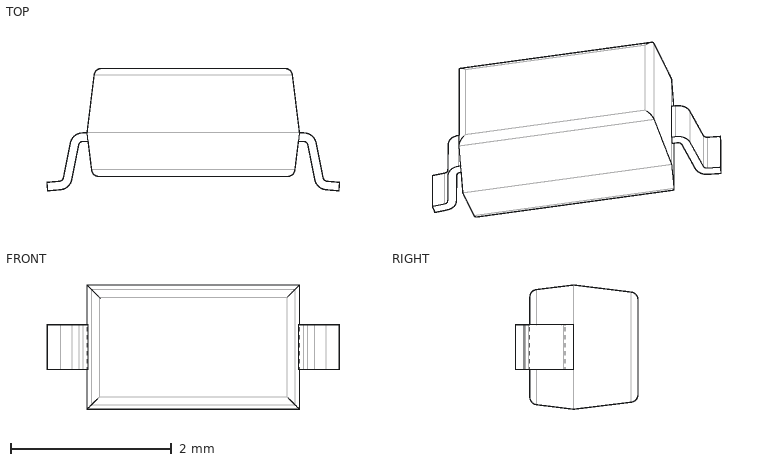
import cadquery as cq
import math

BODY_LENGTH = 2.65
BODY_HEIGHT = 1.55
FRONT_DEPTH = 0.548
BACK_DEPTH = 0.803
DRAFT_ANGLE = 7.0
BODY_FILLET = 0.1

TIP_SPAN = 3.65
LEAD_WIDTH = 0.562
LEAD_THICKNESS = 0.11
KNEE_X = 1.507
LEG_ANGLE = 11.3
FOOT_ANGLE = 5.0
TOE_DROP = 0.617
INNER_BEND = 0.05
OUTER_BEND = INNER_BEND + LEAD_THICKNESS


def make_body_half(depth):
    """Block that tapers from the parting plane towards -Y."""
    parting_outline = cq.Workplane("XZ").rect(BODY_LENGTH, BODY_HEIGHT)
    return parting_outline.extrude(depth, taper=DRAFT_ANGLE)


def make_body():
    """Two tapered blocks back to back, with both broad faces rounded off."""
    front = make_body_half(FRONT_DEPTH)
    back = make_body_half(BACK_DEPTH).mirror("XZ")
    body = front.union(back)
    return body.faces("<Y or >Y").edges().fillet(BODY_FILLET)


def make_right_lead():
    """Strip of constant thickness with a rounded knee and ankle."""
    leg = math.radians(LEG_ANGLE)
    foot = math.radians(FOOT_ANGLE)
    wall_x = BODY_LENGTH / 2
    toe_x = TIP_SPAN / 2
    wall_inset = LEAD_THICKNESS * math.tan(math.radians(DRAFT_ANGLE))

    leg_slope = math.tan(leg)
    foot_slope = math.tan(foot)
    ankle_drop = (TOE_DROP - foot_slope * (toe_x - KNEE_X)) / (1 - foot_slope * leg_slope)
    ankle_x = KNEE_X + leg_slope * ankle_drop

    knee_miter = LEAD_THICKNESS * math.tan((math.pi / 2 - leg) / 2)
    ankle_miter = LEAD_THICKNESS * math.tan((math.pi / 2 - leg - foot) / 2)

    wall_top = (wall_x, 0)
    knee_outer = (KNEE_X, 0)
    ankle_inner = (ankle_x, -ankle_drop)
    toe_top = (toe_x, -TOE_DROP)
    toe_bottom = (
        toe_x - LEAD_THICKNESS * math.sin(foot),
        -TOE_DROP - LEAD_THICKNESS * math.cos(foot),
    )
    ankle_outer = (
        ankle_x - LEAD_THICKNESS * math.sin(foot) - ankle_miter * math.cos(foot),
        -ankle_drop - LEAD_THICKNESS * math.cos(foot) + ankle_miter * math.sin(foot),
    )
    knee_inner = (KNEE_X - knee_miter, -LEAD_THICKNESS)
    wall_bottom = (wall_x - wall_inset, -LEAD_THICKNESS)

    outline = [
        wall_top, knee_outer, ankle_inner, toe_top,
        toe_bottom, ankle_outer, knee_inner, wall_bottom,
    ]
    lead = cq.Workplane("XY").polyline(outline).close().extrude(LEAD_WIDTH / 2, both=True)
    lead = round_bends(lead, [knee_outer, ankle_outer], OUTER_BEND)
    return round_bends(lead, [knee_inner, ankle_inner], INNER_BEND)


def round_bends(lead, corners, radius):
    """Fillet the Z-direction edges that stand on the given corners."""
    for corner in corners:
        lead = lead.edges(cq.NearestToPointSelector((*corner, 0))).fillet(radius)
    return lead


body = make_body()

right_lead = make_right_lead()
leads = []
for is_left in (False, True):
    lead = right_lead.mirror("YZ") if is_left else right_lead
    leads.append(lead.val())

result = cq.Compound.makeCompound([body.val(), *leads])